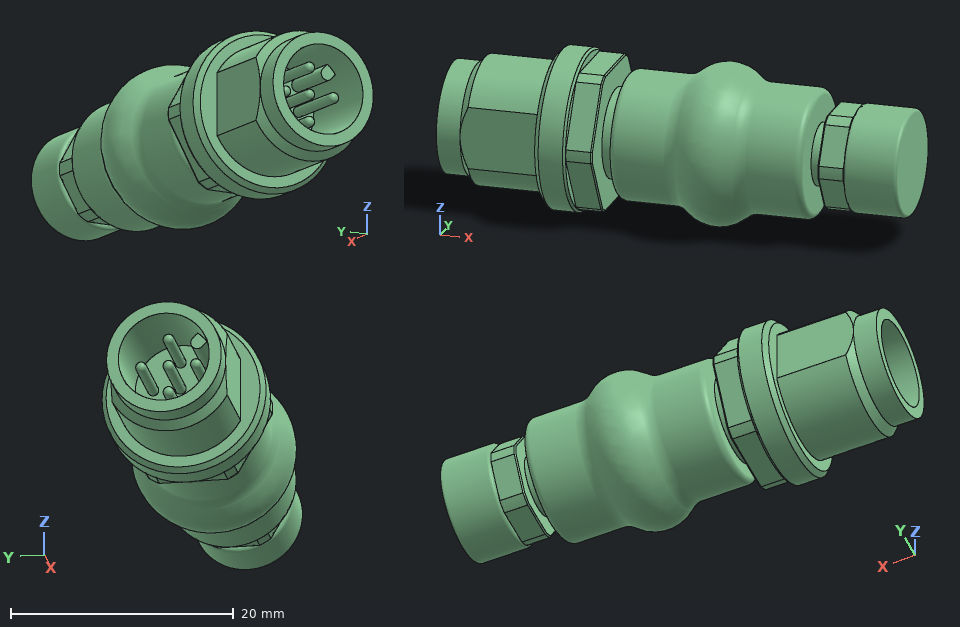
import cadquery as cq
import math

length = 43.2

nose_end = 2.25
flange_start = 9.8
flange_end = 12.8
nut_end = 15.25
sleeve_start = 16.4
sleeve_end = 34.5
cap_nut_start = 35.73
cap_start = 38.15

nose_diameter = 10.5
body_diameter = 12.0
body_flat_width = nose_diameter
bore_diameter = 8.3
bore_depth = 8.65
pin_diameter = 1.0
pin_offset = 2.5
pin_tip_start = 2.05
pin_tip_round = 0.45
key_width = 1.2
key_center_radius = 3.45
key_start = 3.45
key_angle = 135.0

flange_diameter = 15.0
flange_front_chamfer = 0.48
flange_back_chamfer = 0.2
nut_across_flats = 13.0
nut_corner_diameter = 14.45
front_neck_diameter = 8.4
rear_neck_diameter = 5.8
cap_nut_across_flats = 9.0
cap_nut_corner_diameter = 9.75
cap_diameter = 10.0
nut_chamfer = 0.15
cap_edge_round = 0.35

sleeve_diameter = 12.0
sleeve_edge_round = 0.65
bulge_diameter = flange_diameter
bulge_half_length = 2.55
blend_length = 1.25


def cylinder(diameter, start, end):
    return cq.Workplane("YZ", origin=(start, 0, 0)).circle(diameter / 2).extrude(end - start)


def hex_nut(across_flats, corner_diameter, start, end, open_face):
    """Hexagon with flats facing +Z and -Z, turned-down corners and a chamfered open face."""
    corner_to_corner = across_flats / math.cos(math.pi / 6)
    hexagon = cq.Workplane("YZ", origin=(start, 0, 0)).polygon(6, corner_to_corner).extrude(end - start)
    nut = hexagon.intersect(cylinder(corner_diameter, start, end))
    return nut.faces(open_face).chamfer(nut_chamfer)


def threaded_body():
    """Round body with a lead-in chamfer down to the nose and a flat on each Y side."""
    lead_in = (body_diameter - nose_diameter) / 2
    round_body = cylinder(body_diameter, nose_end, flange_start).faces("<X").chamfer(lead_in)
    middle = (nose_end + flange_start) / 2
    flats = cq.Workplane("XY", origin=(middle, 0, 0)).box(
        flange_start - nose_end, body_flat_width, body_diameter
    )
    return round_body.intersect(flats)


def flange():
    disc = cylinder(flange_diameter, flange_start, flange_end)
    return disc.faces("<X").chamfer(flange_front_chamfer).faces(">X").chamfer(flange_back_chamfer)


def sleeve():
    """Revolved sleeve whose bulge arc runs tangent into the blend arcs on both sides."""
    sleeve_radius = sleeve_diameter / 2
    bulge_radius = bulge_diameter / 2
    center = (sleeve_start + sleeve_end) / 2
    half_span = bulge_half_length + blend_length
    slope = 2 * math.atan((bulge_radius - sleeve_radius) / half_span)
    blend_rise = blend_length * math.tan(slope / 2)
    joint_radius = sleeve_radius + blend_rise
    profile = (
        cq.Workplane("XY")
        .moveTo(sleeve_start, 0)
        .lineTo(sleeve_start, sleeve_radius)
        .lineTo(center - half_span, sleeve_radius)
        .tangentArcPoint((center - bulge_half_length, joint_radius), relative=False)
        .threePointArc((center, bulge_radius), (center + bulge_half_length, joint_radius))
        .tangentArcPoint((center + half_span, sleeve_radius), relative=False)
        .lineTo(sleeve_end, sleeve_radius)
        .lineTo(sleeve_end, 0)
        .close()
    )
    turned = profile.revolve(360, (0, 0, 0), (1, 0, 0))
    return turned.faces("<X or >X").edges().fillet(sleeve_edge_round)


def pin(y, z):
    shaft = cylinder(pin_diameter, pin_tip_start, bore_depth).faces("<X").edges().fillet(pin_tip_round)
    return shaft.translate((0, y, z))


def key():
    """Rounded rib inside the bore that sets the mating angle."""
    key_depth = bore_depth - key_start
    wall_radius = (bore_diameter + nose_diameter) / 4
    rib_length = wall_radius - key_center_radius
    rib = (
        cq.Workplane("YZ", origin=(key_start, 0, 0))
        .center(key_center_radius + rib_length / 2, 0)
        .rect(rib_length, key_width)
        .extrude(key_depth)
    )
    nose = cylinder(key_width, key_start, bore_depth).translate((0, key_center_radius, 0))
    return rib.union(nose).rotate((0, 0, 0), (1, 0, 0), key_angle)


result = cylinder(nose_diameter, 0, nose_end)
result = result.union(threaded_body())
result = result.union(flange())
flange_nut = hex_nut(nut_across_flats, nut_corner_diameter, flange_end, nut_end, ">X")
result = result.union(flange_nut)
result = result.union(cylinder(front_neck_diameter, nut_end, sleeve_start))
result = result.union(sleeve())
result = result.union(cylinder(rear_neck_diameter, sleeve_end, cap_nut_start))
cap_nut = hex_nut(cap_nut_across_flats, cap_nut_corner_diameter, cap_nut_start, cap_start, "<X")
result = result.union(cap_nut)
cap = cylinder(cap_diameter, cap_start, length).faces("<X or >X").edges().fillet(cap_edge_round)
result = result.union(cap)

result = result.cut(cylinder(bore_diameter, 0, bore_depth))
pin_positions = [(0, 0), (pin_offset, 0), (-pin_offset, 0), (0, pin_offset), (0, -pin_offset)]
for pin_y, pin_z in pin_positions:
    result = result.union(pin(pin_y, pin_z))
result = result.union(key())